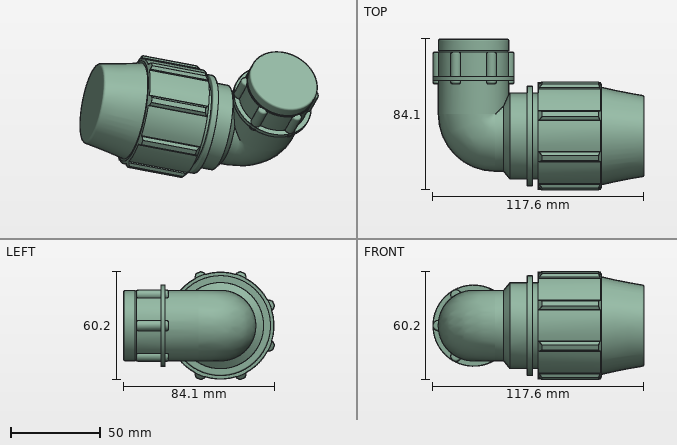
import cadquery as cq
import math


tube_radius = 39.38 / 2
bend_radius = 12.2

main_end = 95.0
taper_start = 16.8
taper_end = 20.3
socket_radius = 48 / 2
collar_start = 29.8
collar_end = 32.9
collar_radius = 55.68 / 2
collar_edge_round = 0.6

nut_start = 36.0
nut_end = 71.2
nut_radius = 29.8
nut_bevel_length = 0.6
nut_bevel_depth = 1.3
nose_base_radius = 27.2
nose_middle_radius = 24.6
nose_tip_radius = 22.5
nose_tip_round = 1.3

rib_count = 8
rib_tip_radius = 32.0
rib_tip_width = 2.9
rib_base_width = 5.8
rib_shoulder_radius = 30.4
rib_embed = 2.0
rib_front_step = 0.1
envelope_clearance = 1.0

branch_end = 54.0
end_ring_start = 47.6
grip_end = 46.8
neck_radius = 19.3
end_ring_round = 1.1
flange_start = 30.9
flange_end = 33.2
flange_radius = 45.28 / 2

pin_count = 6
pin_start = 29.0
pin_inset = 0.05
pin_radius = flange_radius - tube_radius - pin_inset
pin_end_round = 1.1


def x_cylinder(radius, start, end):
    return cq.Workplane("YZ").workplane(offset=start).circle(radius).extrude(end - start)


def y_cylinder(radius, start, end):
    plane = cq.Plane(origin=(0, start, 0), xDir=(1, 0, 0), normal=(0, 1, 0))
    return cq.Workplane(plane).circle(radius).extrude(end - start)


def make_bend():
    """Quarter turn of the tube section, cut off at the bend axis so that it does not cross itself."""
    half_chord = math.sqrt(tube_radius**2 - bend_radius**2)
    section = (
        cq.Workplane("YZ")
        .workplane(offset=bend_radius)
        .moveTo(bend_radius, half_chord)
        .threePointArc((-tube_radius, 0), (bend_radius, -half_chord))
        .close()
    )
    return section.revolve(90, (bend_radius, 0, 0), (bend_radius, -1, 0))


def make_main_socket():
    profile = (
        cq.Workplane("XY")
        .moveTo(bend_radius, 0)
        .lineTo(bend_radius, tube_radius)
        .lineTo(taper_start, tube_radius)
        .lineTo(taper_end, socket_radius)
        .lineTo(nut_start, socket_radius)
        .lineTo(nut_start, 0)
        .close()
    )
    body = profile.revolve(360, (0, 0, 0), (1, 0, 0))
    collar = x_cylinder(collar_radius, collar_start, collar_end).edges().fillet(collar_edge_round)
    return body.union(collar)


def make_rib():
    base_radius = nut_radius - rib_embed
    section = [
        (base_radius, -rib_base_width / 2),
        (rib_shoulder_radius, -rib_base_width / 2),
        (rib_tip_radius, -rib_tip_width / 2),
        (rib_tip_radius, rib_tip_width / 2),
        (rib_shoulder_radius, rib_base_width / 2),
        (base_radius, rib_base_width / 2),
    ]
    return cq.Workplane("YZ").workplane(offset=nut_start).polyline(section).close().extrude(nut_end - nut_start)


def make_nut_envelope():
    """Round limit of the nut: a 45 degree slope in front of the ribs and a steep bevel behind them."""
    front_radius = nut_radius + rib_front_step
    outer_radius = rib_tip_radius + envelope_clearance
    bevel_inner_radius = nut_radius - nut_bevel_depth
    bevel_length = (outer_radius - bevel_inner_radius) * nut_bevel_length / nut_bevel_depth
    profile = (
        cq.Workplane("XY")
        .moveTo(nut_start, 0)
        .lineTo(nut_start, front_radius)
        .lineTo(nut_start + outer_radius - front_radius, outer_radius)
        .lineTo(nut_end - bevel_length, outer_radius)
        .lineTo(nut_end, bevel_inner_radius)
        .lineTo(nut_end, 0)
        .close()
    )
    return profile.revolve(360, (0, 0, 0), (1, 0, 0))


def make_nose():
    middle = (nut_end + main_end) / 2
    profile = (
        cq.Workplane("XY")
        .moveTo(nut_end, 0)
        .lineTo(nut_end, nose_base_radius)
        .threePointArc((middle, nose_middle_radius), (main_end, nose_tip_radius))
        .lineTo(main_end, 0)
        .close()
    )
    return profile.revolve(360, (0, 0, 0), (1, 0, 0)).faces(">X").edges().fillet(nose_tip_round)


def make_nut():
    nut = x_cylinder(nut_radius, nut_start, nut_end)
    rib = make_rib()
    pitch = 360 / rib_count
    for index in range(rib_count):
        nut = nut.union(rib.rotate((0, 0, 0), (1, 0, 0), (index + 0.5) * pitch))
    return nut.intersect(make_nut_envelope()).union(make_nose())


def make_branch_socket():
    tube = y_cylinder(tube_radius, bend_radius, grip_end)
    flange = y_cylinder(flange_radius, flange_start, flange_end)
    neck = y_cylinder(neck_radius, grip_end, end_ring_start)
    end_ring = y_cylinder(tube_radius, end_ring_start, branch_end).faces(">Y").edges().fillet(end_ring_round)
    return tube.union(flange).union(neck).union(end_ring)


def add_pins(body):
    pin = y_cylinder(pin_radius, pin_start, grip_end).edges("%CIRCLE").fillet(pin_end_round)
    pin = pin.translate((tube_radius, 0, 0))
    for index in range(pin_count):
        body = body.union(pin.rotate((0, 0, 0), (0, 1, 0), index * 360 / pin_count))
    return body


branch = add_pins(make_branch_socket())
result = make_bend().union(make_main_socket()).union(make_nut()).union(branch)